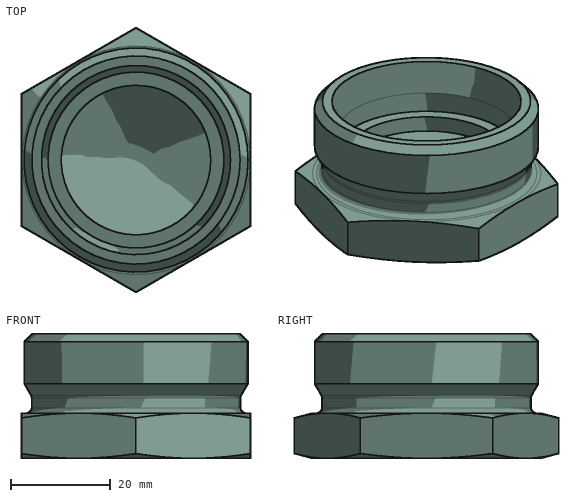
import cadquery as cq
import math

hex_corner_diameter = 53.1
hex_height = 9.1
total_height = 25.0

hex_face_radius = 22.95
hex_chamfer_angle = math.radians(15)

collar_radius = 45.0 / 2
rim_chamfer = 1.6
neck_radius = 42.0 / 2
neck_fillet = 1.1
undercut_angle = math.radians(30)
undercut_cone_bottom = 12.7

mouth_radius = 38.0 / 2
bore_taper_depth = 6.3
bore_radius = 35.3 / 2
seat_depth = 10.4
drill_radius = 30.0 / 2
drill_wall_height = 3.15
drill_tip_angle = math.radians(118)


def make_hexagon():
    """Hexagon with corners on Y, its corners turned off conically at both ends."""
    corner_radius = hex_corner_diameter / 2
    corner_drop = (corner_radius - hex_face_radius) * math.tan(hex_chamfer_angle)
    prism = (
        cq.Workplane("XY")
        .polygon(6, hex_corner_diameter)
        .extrude(hex_height)
        .rotate((0, 0, 0), (0, 0, 1), 30)
    )
    turned_envelope = (
        cq.Workplane("XZ")
        .moveTo(0, 0)
        .lineTo(hex_face_radius, 0)
        .lineTo(corner_radius, corner_drop)
        .lineTo(corner_radius, hex_height - corner_drop)
        .lineTo(hex_face_radius, hex_height)
        .lineTo(0, hex_height)
        .close()
        .revolve(360, (0, 0, 0), (0, 1, 0))
    )
    return prism.intersect(turned_envelope)


def make_collar():
    """Turned collar standing on the hexagon, with a filleted undercut at its foot."""
    neck_bottom = hex_height + neck_fillet
    foot_radius = neck_radius + neck_fillet
    foot_arc_inset = neck_fillet * (1 - math.sqrt(0.5))

    cone_start_radius = neck_radius + neck_fillet * (1 - math.cos(undercut_angle))
    undercut_cone_height = (collar_radius - cone_start_radius) / math.tan(undercut_angle)
    neck_top = undercut_cone_bottom - neck_fillet * math.sin(undercut_angle)
    half_angle = undercut_angle / 2
    arc_mid_radius = neck_radius + neck_fillet * (1 - math.cos(half_angle))
    arc_mid_height = neck_top + neck_fillet * math.sin(half_angle)

    return (
        cq.Workplane("XZ")
        .moveTo(0, hex_height)
        .lineTo(foot_radius, hex_height)
        .threePointArc(
            (neck_radius + foot_arc_inset, hex_height + foot_arc_inset),
            (neck_radius, neck_bottom),
        )
        .lineTo(neck_radius, neck_top)
        .threePointArc((arc_mid_radius, arc_mid_height), (cone_start_radius, undercut_cone_bottom))
        .lineTo(collar_radius, undercut_cone_bottom + undercut_cone_height)
        .lineTo(collar_radius, total_height - rim_chamfer)
        .lineTo(collar_radius - rim_chamfer, total_height)
        .lineTo(0, total_height)
        .close()
        .revolve(360, (0, 0, 0), (0, 1, 0))
    )


def make_bore():
    """Bore with a tapered mouth, then a smaller blind hole with a drill tip."""
    seat_height = total_height - seat_depth
    tip_base = seat_height - drill_wall_height
    tip_height = tip_base - drill_radius / math.tan(drill_tip_angle / 2)
    taper_bottom = total_height - bore_taper_depth
    return (
        cq.Workplane("XZ")
        .moveTo(0, tip_height)
        .lineTo(drill_radius, tip_base)
        .lineTo(drill_radius, seat_height)
        .lineTo(bore_radius, seat_height)
        .lineTo(bore_radius, taper_bottom)
        .lineTo(mouth_radius, total_height)
        .lineTo(0, total_height)
        .close()
        .revolve(360, (0, 0, 0), (0, 1, 0))
    )


result = make_hexagon().union(make_collar()).cut(make_bore())